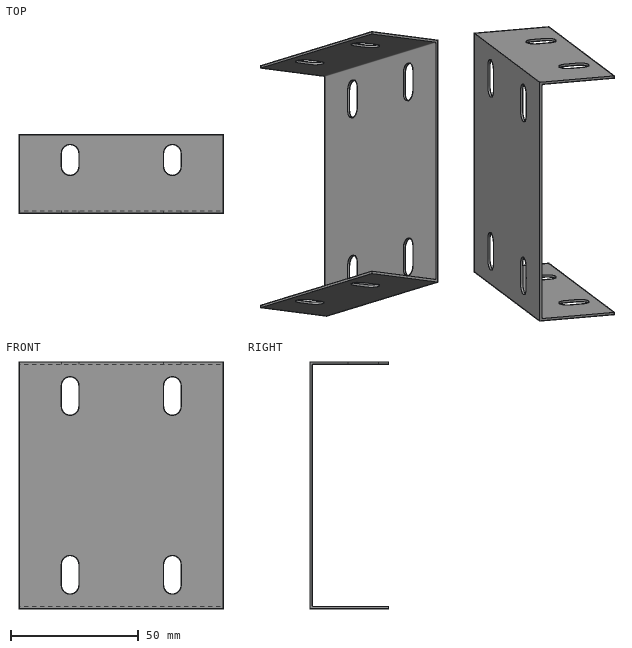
import cadquery as cq

width = 80.0
depth = 30.9
height = 96.7
thickness = 1.0
inner_bend_radius = 0.4

slot_width = 6.8
slot_spacing_x = 40.05
web_slot_length = 15.0
web_slot_spacing_z = 70.0
flange_slot_length = 12.0
flange_slot_to_edge = 10.0

front_y = -depth / 2
flange_slot_y = depth / 2 - flange_slot_to_edge


def make_channel():
    """Block hollowed from the rear, open at both X ends, with eased inner bends."""
    block = cq.Workplane("XY").box(width, depth, height)
    cavity = (
        cq.Workplane("XY")
        .box(width, depth, height - 2 * thickness)
        .edges("|X and <Y")
        .fillet(inner_bend_radius)
        .translate((0, thickness, 0))
    )
    return block.cut(cavity)


def web_slots():
    """Four upright slots through the web only."""
    return (
        cq.Workplane("XZ", origin=(0, front_y + thickness, 0))
        .rarray(slot_spacing_x, web_slot_spacing_z, 2, 2)
        .slot2D(web_slot_length, slot_width, 90)
        .extrude(thickness)
    )


def flange_slots():
    """Two slots running along Y, through both flanges."""
    return (
        cq.Workplane("XY", origin=(0, flange_slot_y, 0))
        .rarray(slot_spacing_x, 1, 2, 1)
        .slot2D(flange_slot_length, slot_width, 90)
        .extrude(height / 2, both=True)
    )


result = make_channel().cut(web_slots()).cut(flange_slots())